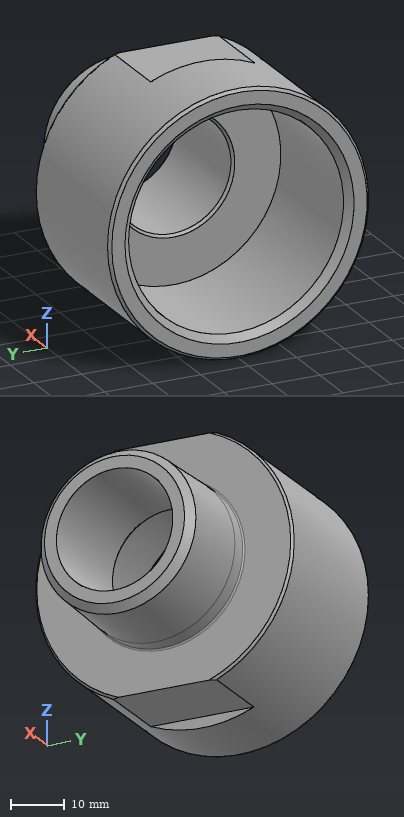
import cadquery as cq

TOTAL_LENGTH = 52.0

BODY_DIAMETER = 54.5
BODY_LENGTH = 31.7
FRONT_CHAMFER = 0.6
REAR_CHAMFER = 0.5

FLAT_TO_FLAT = 50.0
FLAT_LENGTH = 15.9

SPIGOT_DIAMETER = 33.6
SPIGOT_TAPER = 1 / 16
NECK_END = 35.25
TIP_CHAMFER = 1.6
ROOT_FILLET = 0.3

SOCKET_DIAMETER = 44.85
SOCKET_MOUTH_DIAMETER = 47.8
SOCKET_DEPTH = 28.35
HOLE_DIAMETER = 24.5
HOLE_CHAMFER = 0.55


def revolve_about_x(outline):
    """Turn a closed outline, drawn as (x, radius), around the X axis."""
    return outline.revolve(360, (0, 0, 0), (1, 0, 0))


def make_body():
    body = cq.Workplane("YZ").circle(BODY_DIAMETER / 2).extrude(BODY_LENGTH)
    body = body.faces("<X").chamfer(FRONT_CHAMFER)
    return body.faces(">X").chamfer(REAR_CHAMFER)


def cut_flats(body):
    flat_height = (BODY_DIAMETER - FLAT_TO_FLAT) / 2
    flat_center_x = BODY_LENGTH - FLAT_LENGTH / 2
    flat_center_z = (FLAT_TO_FLAT + flat_height) / 2
    for side in (1, -1):
        block = cq.Workplane("XY").box(FLAT_LENGTH, BODY_DIAMETER, flat_height)
        body = body.cut(block.translate((flat_center_x, 0, side * flat_center_z)))
    return body


def make_spigot():
    neck_radius = SPIGOT_DIAMETER / 2
    chamfer_start = TOTAL_LENGTH - TIP_CHAMFER
    tip_radius = neck_radius - (chamfer_start - NECK_END) * SPIGOT_TAPER / 2
    outline = (
        cq.Workplane("XY")
        .moveTo(BODY_LENGTH, 0)
        .lineTo(BODY_LENGTH, neck_radius + ROOT_FILLET)
        .radiusArc((BODY_LENGTH + ROOT_FILLET, neck_radius), -ROOT_FILLET)
        .lineTo(NECK_END, neck_radius)
        .lineTo(chamfer_start, tip_radius)
        .lineTo(TOTAL_LENGTH, tip_radius - TIP_CHAMFER)
        .lineTo(TOTAL_LENGTH, 0)
        .close()
    )
    return revolve_about_x(outline)


def make_bore():
    socket_radius = SOCKET_DIAMETER / 2
    mouth_radius = SOCKET_MOUTH_DIAMETER / 2
    hole_radius = HOLE_DIAMETER / 2
    mouth_depth = mouth_radius - socket_radius
    points = [
        (0, 0),
        (0, mouth_radius),
        (mouth_depth, socket_radius),
        (SOCKET_DEPTH, socket_radius),
        (SOCKET_DEPTH, hole_radius + HOLE_CHAMFER),
        (SOCKET_DEPTH + HOLE_CHAMFER, hole_radius),
        (TOTAL_LENGTH, hole_radius),
        (TOTAL_LENGTH, 0),
    ]
    return revolve_about_x(cq.Workplane("XY").polyline(points).close())


result = cut_flats(make_body()).union(make_spigot()).cut(make_bore())